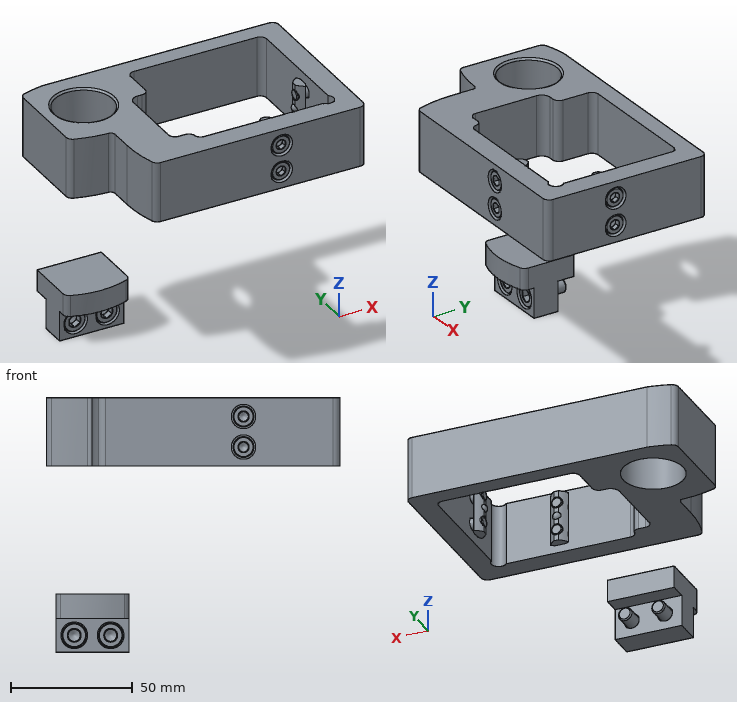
import cadquery as cq
import math

FRAME_LENGTH = 120.5
FRAME_WIDTH = 78.0
FRAME_HEIGHT = 28.1
FRAME_TOP = 104.5
FRAME_BOTTOM = FRAME_TOP - FRAME_HEIGHT
FRAME_MIDDLE = (FRAME_TOP + FRAME_BOTTOM) / 2
OUTER_CORNER_RADIUS = 3.0

BORE_X = 18.9
BORE_Y = 56.0
BORE_DIAMETER = 27.0
BORE_CHAMFER = 0.8

LUG_MIDDLE_Y = 54.7
LUG_HALF_WIDTH = 23.7
LUG_ARC_RADIUS = 54.2
LUG_FRONT = LUG_MIDDLE_Y - LUG_HALF_WIDTH
LUG_BACK = LUG_MIDDLE_Y + LUG_HALF_WIDTH

WAIST_X = 18.8
WAIST_ARC_START_Y = 18.8
WAIST_ARC_RADIUS = 55.4
WAIST_CORNER_RADIUS = 2.0

WALL = 10.0
BACK_WALL = 8.0
OPENING_LEFT = 47.0
OPENING_RIGHT = FRAME_LENGTH - WALL
OPENING_BACK = FRAME_WIDTH - BACK_WALL
OPENING_CORNER_RADIUS = 3.0
NOTCH_LEFT = 37.8
NOTCH_FRONT = 15.2
NOTCH_BACK = 51.8
NOTCH_BACK_CORNER_RADIUS = 4.0
RELIEF_RADIUS = 3.3
RELIEF_OFFSET = 2.0

FOOT_WIDTH = 30.0
FOOT_LEFT = BORE_X - FOOT_WIDTH / 2
FOOT_RIGHT = BORE_X + FOOT_WIDTH / 2
FOOT_FRONT = 41.2
FOOT_BACK = 68.5
FOOT_HEIGHT = 24.0
FOOT_ARC_RADIUS = 37.4
FOOT_CORNER_RADIUS = 3.0
PLATE_THICKNESS = 10.0
STEM_HEIGHT = FOOT_HEIGHT - PLATE_THICKNESS
STEM_FRONT = 49.2
STEM_BACK = 60.9
STEM_THICKNESS = STEM_BACK - STEM_FRONT

WALL_SCREW = {
    "shank": 5.0,
    "tip": 4.1,
    "head": 8.5,
    "length": 10.0,
    "head_height": 5.0,
    "socket": 4.0,
    "socket_depth": 2.5,
}
FOOT_SCREW = {
    "shank": 6.0,
    "tip": 5.0,
    "head": 10.0,
    "length": 12.0,
    "head_height": 6.0,
    "socket": 5.0,
    "socket_depth": 3.0,
}
HEAD_CHAMFER = 0.4
SOCKET_CONE_ANGLE = 120.0

WALL_HOLE_DIAMETER = 5.5
WALL_SINK_DIAMETER = 10.0
WALL_SINK_DEPTH = 5.5
FOOT_HOLE_DIAMETER = 6.6
FOOT_SINK_DIAMETER = 11.0
FOOT_SINK_DEPTH = 6.7

WALL_SCREW_SPACING = 12.5
FRONT_SCREW_X = 80.9
SIDE_SCREW_Y = 33.5
FOOT_SCREW_SPACING = 15.0
FOOT_SCREW_Z = 7.0

BAR_LENGTH = 22.9
BAR_THICKNESS = 4.2
BAR_WIDTH = 8.0
BAR_BACK_WIDTH = 4.8
BAR_FRONT_WIDTH = 2.2
BAR_BEVEL_HEIGHT = 1.0
BAR_SIDE_BULGE = 0.2
BAR_GAP = 1.5
NUB_RADIUS = 1.9
NUB_HEIGHT = 1.0

INTO_FRONT = (0, 1, 0)
INTO_SIDE = (-1, 0, 0)
PAIR = (-1, 1)
WALL_SCREW_HEIGHTS = [FRAME_MIDDLE + side * WALL_SCREW_SPACING / 2 for side in PAIR]
FRONT_SCREW_PLACES = [((FRONT_SCREW_X, 0, z), INTO_FRONT) for z in WALL_SCREW_HEIGHTS]
SIDE_SCREW_PLACES = [((FRAME_LENGTH, SIDE_SCREW_Y, z), INTO_SIDE) for z in WALL_SCREW_HEIGHTS]
WALL_SCREW_PLACES = FRONT_SCREW_PLACES + SIDE_SCREW_PLACES
FOOT_SCREW_PLACES = [
    ((BORE_X + side * FOOT_SCREW_SPACING / 2, STEM_FRONT, FOOT_SCREW_Z), INTO_FRONT) for side in PAIR
]
BAR_PLACES = [
    ((FRONT_SCREW_X, WALL + BAR_GAP, FRAME_MIDDLE), INTO_FRONT),
    ((OPENING_RIGHT - BAR_GAP, SIDE_SCREW_Y, FRAME_MIDDLE), INTO_SIDE),
]


def arc_drop(radius, distance):
    """How far an arc falls from its crest at a distance along the crest's tangent."""
    return radius - math.sqrt(radius**2 - distance**2)


def lug_drop(x):
    return arc_drop(LUG_ARC_RADIUS, BORE_X - x)


def round_upright_corners(body, corners, middle_z, radius):
    """Fillet the vertical edges at the given (x, y) corners."""
    for x, y in corners:
        edge = cq.selectors.NearestToPointSelector((x, y, middle_z))
        body = body.edges(edge).fillet(radius)
    return body


def put(solid, place):
    """Move a solid from the origin so that its +Z runs in the place's direction and its X stands upright."""
    point, direction = place
    plane = cq.Plane(origin=point, xDir=(0, 0, 1), normal=direction)
    return solid.moved(cq.Location(plane))


def cylinder(diameter, start, length):
    return cq.Workplane("XY").workplane(offset=start).circle(diameter / 2).extrude(length)


def cone(diameter, start):
    """Cone along +Z with the socket's cone angle and its base at start."""
    height = diameter / 2 / math.tan(math.radians(SOCKET_CONE_ANGLE / 2))
    base = cq.Vector(0, 0, start)
    return cq.Workplane(cq.Solid.makeCone(diameter / 2, 0, height, pnt=base, dir=cq.Vector(0, 0, 1)))


def cut_screw_holes(body, places, hole_diameter, sink_diameter, sink_depth, wall):
    cutter = cylinder(hole_diameter, 0, wall).union(cylinder(sink_diameter, 0, sink_depth)).val()
    for place in places:
        body = body.cut(cq.Workplane(put(cutter, place)))
    return body


def make_frame_blank():
    """Outer shape of the frame."""
    left_front = (0, LUG_FRONT + lug_drop(0))
    left_back = (0, LUG_BACK - lug_drop(0))
    waist_corner = (WAIST_X, LUG_FRONT + lug_drop(WAIST_X))
    front_left = (WAIST_X + arc_drop(WAIST_ARC_RADIUS, WAIST_ARC_START_Y), 0)
    front_right = (FRAME_LENGTH, 0)
    back_right = (FRAME_LENGTH, FRAME_WIDTH)

    lug_mid_x = WAIST_X / 2
    waist_mid_y = WAIST_ARC_START_Y / 2
    trim = LUG_BACK - FRAME_WIDTH
    trim_x = BORE_X - math.sqrt(trim * (2 * LUG_ARC_RADIUS - trim))
    back_mid_x = trim_x / 2

    blank = (
        cq.Workplane("XY")
        .workplane(offset=FRAME_BOTTOM)
        .moveTo(*left_front)
        .threePointArc((lug_mid_x, LUG_FRONT + lug_drop(lug_mid_x)), waist_corner)
        .lineTo(WAIST_X, WAIST_ARC_START_Y)
        .threePointArc((WAIST_X + arc_drop(WAIST_ARC_RADIUS, waist_mid_y), waist_mid_y), front_left)
        .lineTo(*front_right)
        .lineTo(*back_right)
        .lineTo(trim_x, FRAME_WIDTH)
        .threePointArc((back_mid_x, LUG_BACK - lug_drop(back_mid_x)), left_back)
        .close()
        .extrude(FRAME_HEIGHT)
    )
    corners = [left_front, front_left, front_right, back_right, left_back]
    blank = round_upright_corners(blank, corners, FRAME_MIDDLE, OUTER_CORNER_RADIUS)
    return round_upright_corners(blank, [waist_corner], FRAME_MIDDLE, WAIST_CORNER_RADIUS)


def make_opening():
    """Cutter for the frame's opening with its notch and corner relief."""
    back_left = (OPENING_LEFT, OPENING_BACK)
    back_right = (OPENING_RIGHT, OPENING_BACK)
    notch_mouth = (OPENING_LEFT, NOTCH_BACK)
    notch_back = (NOTCH_LEFT, NOTCH_BACK)
    notch_front = (NOTCH_LEFT, NOTCH_FRONT)

    step_rise = NOTCH_FRONT - WALL
    step_run = math.sqrt(step_rise * (4 * OPENING_CORNER_RADIUS - step_rise))
    step_end_x = OPENING_LEFT + OPENING_CORNER_RADIUS
    step_start_x = step_end_x - step_run
    step_middle = ((step_start_x + step_end_x) / 2, (NOTCH_FRONT + WALL) / 2)

    opening = (
        cq.Workplane("XY")
        .workplane(offset=FRAME_BOTTOM)
        .moveTo(*notch_front)
        .lineTo(step_start_x, NOTCH_FRONT)
        .tangentArcPoint(step_middle, relative=False)
        .tangentArcPoint((step_end_x, WALL), relative=False)
        .lineTo(OPENING_RIGHT, WALL)
        .lineTo(*back_right)
        .lineTo(*back_left)
        .lineTo(*notch_mouth)
        .lineTo(*notch_back)
        .close()
        .extrude(FRAME_HEIGHT)
    )
    corners = [back_left, back_right, notch_mouth, notch_front]
    opening = round_upright_corners(opening, corners, FRAME_MIDDLE, OPENING_CORNER_RADIUS)
    opening = round_upright_corners(opening, [notch_back], FRAME_MIDDLE, NOTCH_BACK_CORNER_RADIUS)
    relief = cylinder(2 * RELIEF_RADIUS, FRAME_BOTTOM, FRAME_HEIGHT)
    return opening.union(relief.translate((OPENING_RIGHT - RELIEF_OFFSET, WALL + RELIEF_OFFSET, 0)))


def make_frame():
    bore = cylinder(BORE_DIAMETER, FRAME_BOTTOM, FRAME_HEIGHT).translate((BORE_X, BORE_Y, 0))
    frame = make_frame_blank().cut(make_opening()).cut(bore)
    rim = cq.selectors.NearestToPointSelector((BORE_X, BORE_Y, FRAME_TOP))
    frame = frame.faces(">Z").edges(rim).chamfer(BORE_CHAMFER)
    return cut_screw_holes(
        frame, WALL_SCREW_PLACES, WALL_HOLE_DIAMETER, WALL_SINK_DIAMETER, WALL_SINK_DEPTH, WALL
    )


def make_foot():
    corner_y = FOOT_FRONT + arc_drop(FOOT_ARC_RADIUS, FOOT_WIDTH / 2)
    front_corners = [(FOOT_LEFT, corner_y), (FOOT_RIGHT, corner_y)]
    plate = (
        cq.Workplane("XY")
        .workplane(offset=STEM_HEIGHT)
        .moveTo(FOOT_LEFT, corner_y)
        .threePointArc((BORE_X, FOOT_FRONT), (FOOT_RIGHT, corner_y))
        .lineTo(FOOT_RIGHT, FOOT_BACK)
        .lineTo(FOOT_LEFT, FOOT_BACK)
        .close()
        .extrude(PLATE_THICKNESS)
    )
    plate_middle = STEM_HEIGHT + PLATE_THICKNESS / 2
    plate = round_upright_corners(plate, front_corners, plate_middle, FOOT_CORNER_RADIUS)
    stem = cq.Workplane("XY").box(FOOT_WIDTH, STEM_THICKNESS, STEM_HEIGHT, centered=False)
    foot = plate.union(stem.translate((FOOT_LEFT, STEM_FRONT, 0)))
    return cut_screw_holes(
        foot, FOOT_SCREW_PLACES, FOOT_HOLE_DIAMETER, FOOT_SINK_DIAMETER, FOOT_SINK_DEPTH, STEM_THICKNESS
    )


def make_screw(size, seat):
    """Hexagon socket screw along +Z, with the underside of its head at Z = seat."""
    head_top = seat - size["head_height"]
    head = cylinder(size["head"], head_top, size["head_height"]).faces("<Z").edges().chamfer(HEAD_CHAMFER)
    tip_chamfer = (size["shank"] - size["tip"]) / 2
    shank = cylinder(size["shank"], seat, size["length"]).faces(">Z").edges().chamfer(tip_chamfer)

    across_corners = size["socket"] / math.cos(math.pi / 6)
    top_plane = cq.Workplane("XY").workplane(offset=head_top)
    socket = top_plane.polygon(6, across_corners).extrude(size["socket_depth"])
    socket_bottom = cone(size["socket"], head_top + size["socket_depth"])
    socket_mouth = cone(across_corners, head_top)
    return head.union(shank).cut(socket).cut(socket_bottom).cut(socket_mouth).val()


def make_bar():
    """Clamping bar along X, with its back on the XY plane and its nub toward +Z."""
    back = BAR_BACK_WIDTH / 2
    widest = BAR_WIDTH / 2
    front = BAR_FRONT_WIDTH / 2
    side_run = widest - front
    side_rise = BAR_THICKNESS - BAR_BEVEL_HEIGHT
    side_length = math.hypot(side_run, side_rise)
    bulge_y = (widest + front) / 2 + BAR_SIDE_BULGE * side_rise / side_length
    bulge_z = (BAR_BEVEL_HEIGHT + BAR_THICKNESS) / 2 + BAR_SIDE_BULGE * side_run / side_length
    bar = (
        cq.Workplane("YZ")
        .workplane(offset=-BAR_LENGTH / 2)
        .moveTo(-back, 0)
        .lineTo(back, 0)
        .lineTo(widest, BAR_BEVEL_HEIGHT)
        .threePointArc((bulge_y, bulge_z), (front, BAR_THICKNESS))
        .lineTo(-front, BAR_THICKNESS)
        .threePointArc((-bulge_y, bulge_z), (-widest, BAR_BEVEL_HEIGHT))
        .close()
        .extrude(BAR_LENGTH)
    )
    nub_centre = BAR_THICKNESS + NUB_HEIGHT - NUB_RADIUS
    bar = bar.union(cq.Workplane("XY").sphere(NUB_RADIUS).translate((0, 0, nub_centre)))
    for side in PAIR:
        hole = cylinder(WALL_SCREW["shank"], 0, BAR_THICKNESS)
        bar = bar.cut(hole.translate((side * WALL_SCREW_SPACING / 2, 0, 0)))
    return bar.val()


frame = make_frame()
foot = make_foot()

wall_screw = make_screw(WALL_SCREW, WALL_SINK_DEPTH)
wall_screws = [put(wall_screw, place) for place in WALL_SCREW_PLACES]

foot_screw = make_screw(FOOT_SCREW, FOOT_SINK_DEPTH)
foot_screws = [put(foot_screw, place) for place in FOOT_SCREW_PLACES]

bar = make_bar()
bars = [put(bar, place) for place in BAR_PLACES]

result = cq.Compound.makeCompound([frame.val(), foot.val(), *wall_screws, *foot_screws, *bars])